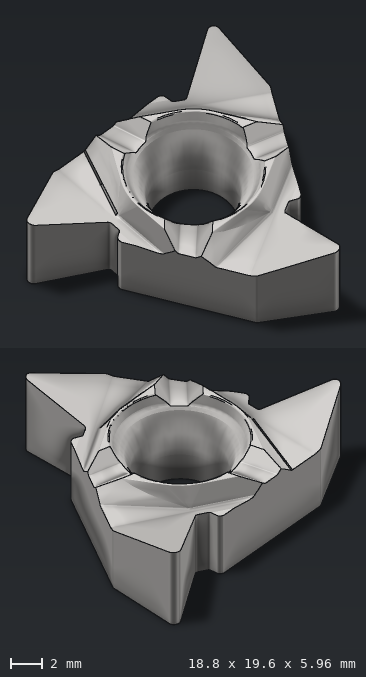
import cadquery as cq
import math

SECTORS = 3
SECTOR_ANGLE = 360 / SECTORS

inscribed_radius = 6.35
tip_x = -3.605
tip_y = -10.352
tip_radius = 0.45
flank_half_angle = math.radians(28.3)
flank_corner_radius = 0.3
notch_y = -6.30
notch_right_x = -0.02
notch_left_radius = 0.25
notch_right_radius = 0.2
heel_left_x = 0.43
heel_y = -6.90
heel_radius = 0.3

tip_z = 5.96
boss_z = 5.83
slot_floor_z = 5.04

rake_angle = math.radians(15.1)
rake_foot_y = -5.72
rake_blend_radius = 0.4
floor_z = tip_z - (rake_foot_y - (tip_y - tip_radius)) * math.tan(rake_angle)
heel_land_start_y = -6.43
heel_land_z = floor_z + (rake_foot_y - heel_land_start_y) * math.tan(rake_angle)

boss_top_radius = 4.71
boss_foot_distance = 5.52
boss_foot_bend_x = -1.04
boss_foot_bend_radius = 0.3
boss_first_normal = -90
boss_top_second_normal = -120
boss_foot_second_normal = -110.8
boss_foot_blend_radius = 0.18
boss_edge_radius = 0.06

slot_direction = -45
slot_offset = -0.1
slot_floor_half_width = 0.54
slot_top_half_width = 1.52
slot_corner_radius = 0.2

hole_radius = 5.7 / 2
seat_bottom_z = 2.0
seat_top_radius = 3.84
seat_top_z = 4.83
ledge_radius = 4.03
cone_foot_radius = 4.21
cone_foot_z = 5.26
rim_radius = 4.50
rim_rounding_length = 0.06

CLEARANCE = 1.0
REACH = 12.0
HEIGHT_TOLERANCE = 0.001


def turn(point, degrees):
    """Point turned about the origin."""
    angle = math.radians(degrees)
    x, y = point
    return (
        x * math.cos(angle) - y * math.sin(angle),
        x * math.sin(angle) + y * math.cos(angle),
    )


def toward(start, end, distance):
    """Point at a distance from start in the direction of end."""
    length = math.dist(start, end)
    return tuple(s + (e - s) * distance / length for s, e in zip(start, end))


def rounded_polygon(plane, corners):
    """Closed outline through (point, radius) corners; radius 0 leaves a corner sharp."""
    outline = None
    for index, (point, radius) in enumerate(corners):
        before = corners[index - 1][0]
        after = corners[(index + 1) % len(corners)][0]
        if radius == 0:
            stops = [point]
        else:
            a = math.atan2(before[1] - point[1], before[0] - point[0])
            b = math.atan2(after[1] - point[1], after[0] - point[0])
            half_angle = math.acos(math.cos(a - b)) / 2
            start = toward(point, before, radius / math.tan(half_angle))
            end = toward(point, after, radius / math.tan(half_angle))
            chord_middle = ((start[0] + end[0]) / 2, (start[1] + end[1]) / 2)
            middle = toward(point, chord_middle, radius / math.sin(half_angle) - radius)
            stops = [start, middle, end]
        if outline is None:
            outline = cq.Workplane(plane).moveTo(*stops[0])
        else:
            outline = outline.lineTo(*stops[0])
        if len(stops) > 1:
            outline = outline.threePointArc(stops[1], stops[2])
    return outline.close()


def line_crossing(normal_1, distance_1, normal_2, distance_2):
    """Crossing of two lines given by normal direction (degrees) and distance from the origin."""
    a = math.radians(normal_1)
    b = math.radians(normal_2)
    span = math.sin(b - a)
    x = (distance_1 * math.sin(b) - distance_2 * math.sin(a)) / span
    y = (distance_2 * math.cos(a) - distance_1 * math.cos(b)) / span
    return (x, y)


def every_sector(shape):
    """The shape repeated in all sectors."""
    copies = shape
    for sector in range(1, SECTORS):
        copies = copies.union(shape.rotate((0, 0, 0), (0, 0, 1), sector * SECTOR_ANGLE))
    return copies


def body_prism():
    """Full-height prism of the three-toothed outline."""
    apex_y = tip_y - tip_radius / math.sin(flank_half_angle)
    flank_corner_y = apex_y + (tip_x + inscribed_radius) / math.tan(flank_half_angle)
    notch_left_x = tip_x + (notch_y - apex_y) * math.tan(flank_half_angle)
    edge_normal = math.radians(180 + SECTOR_ANGLE)
    heel_right_x = (inscribed_radius - heel_y * math.sin(edge_normal)) / math.cos(edge_normal)
    sector_corners = [
        ((-inscribed_radius, flank_corner_y), flank_corner_radius),
        ((tip_x, apex_y), tip_radius),
        ((notch_left_x, notch_y), notch_left_radius),
        ((notch_right_x, notch_y), notch_right_radius),
        ((heel_left_x, heel_y), heel_radius),
        ((heel_right_x, heel_y), heel_radius),
    ]
    corners = []
    for sector in range(SECTORS):
        for point, radius in sector_corners:
            corners.append((turn(point, sector * SECTOR_ANGLE), radius))
    return rounded_polygon("XY", corners).extrude(tip_z + CLEARANCE)


def chip_floor():
    """Slab up to the chip floor."""
    return cq.Workplane("XY").rect(2 * REACH, 2 * REACH).extrude(floor_z)


def tooth_wedge():
    """Material under one rake face, with the lower heel land beside the tooth."""
    drop = REACH + rake_foot_y
    profile = [
        ((rake_foot_y + CLEARANCE, 0), 0),
        ((rake_foot_y + CLEARANCE, floor_z), 0),
        ((rake_foot_y, floor_z), rake_blend_radius),
        ((-REACH, floor_z + drop * math.tan(rake_angle)), 0),
        ((-REACH, 0), 0),
    ]
    wedge = rounded_polygon("YZ", profile).extrude(REACH, both=True)
    heel_space = (
        cq.Workplane("XY")
        .workplane(offset=heel_land_z)
        .moveTo(notch_right_x, heel_land_start_y)
        .lineTo(REACH, heel_land_start_y)
        .lineTo(REACH, -REACH)
        .lineTo(notch_right_x, -REACH)
        .close()
        .extrude(REACH)
    )
    return wedge.cut(heel_space)


def boss_wire(z, first_distance, second_normal, second_distance, bend_radius):
    """Boss section: per sector two straight walls joined by a rounded bend."""
    next_normal = boss_first_normal - SECTOR_ANGLE
    bend = line_crossing(boss_first_normal, first_distance, second_normal, second_distance)
    corner = line_crossing(second_normal, second_distance, next_normal, first_distance)
    corners = []
    for sector in range(SECTORS):
        corners.append((turn(bend, -sector * SECTOR_ANGLE), bend_radius))
        corners.append((turn(corner, -sector * SECTOR_ANGLE), 0))
    return rounded_polygon(cq.Plane((0, 0, z)), corners).val()


def boss():
    """Raised centre with walls flaring from the flat top down to the chip floor."""
    top = boss_wire(boss_z, boss_top_radius, boss_top_second_normal, boss_top_radius, boss_top_radius)
    normal = math.radians(boss_foot_second_normal)
    second_distance = boss_foot_bend_x * math.cos(normal) - boss_foot_distance * math.sin(normal)
    foot = boss_wire(
        floor_z, boss_foot_distance, boss_foot_second_normal, second_distance, boss_foot_bend_radius
    )
    return cq.Workplane(cq.Solid.makeLoft([foot, top], True))


def radial_slot():
    """Trapezoidal slot running outwards from the screw hole."""
    slope = (slot_top_half_width - slot_floor_half_width) / (boss_z - slot_floor_z)
    mouth_z = boss_z + CLEARANCE
    mouth_half_width = slot_top_half_width + CLEARANCE * slope
    profile = [
        ((slot_offset - mouth_half_width, mouth_z), 0),
        ((slot_offset - slot_floor_half_width, slot_floor_z), slot_corner_radius),
        ((slot_offset + slot_floor_half_width, slot_floor_z), slot_corner_radius),
        ((slot_offset + mouth_half_width, mouth_z), 0),
    ]
    slot = rounded_polygon("YZ", profile).extrude(REACH)
    return slot.rotate((0, 0, 0), (0, 0, 1), slot_direction)


def screw_seat():
    """Through hole opening in a flared seat, a narrow ledge and a conical rim."""
    rim = (rim_radius, boss_z)
    cone_foot = (cone_foot_radius, cone_foot_z)
    flat_start_radius = rim_radius + rim_rounding_length
    return (
        cq.Workplane("XZ")
        .moveTo(0, -CLEARANCE)
        .lineTo(hole_radius, -CLEARANCE)
        .lineTo(hole_radius, seat_bottom_z)
        .tangentArcPoint((seat_top_radius, seat_top_z), relative=False)
        .tangentArcPoint((ledge_radius, slot_floor_z), relative=False)
        .tangentArcPoint(cone_foot, relative=False)
        .lineTo(*toward(rim, cone_foot, rim_rounding_length))
        .tangentArcPoint((flat_start_radius, boss_z), relative=False)
        .lineTo(flat_start_radius, boss_z + CLEARANCE)
        .lineTo(0, boss_z + CLEARANCE)
        .close()
        .revolve(360, (0, 0, 0), (0, 1, 0))
    )


def edges_at(shape, z):
    """Horizontal edges at a height, within the surroundings of the boss."""
    span = REACH - CLEARANCE
    lower = (-span, -span, z - HEIGHT_TOLERANCE)
    upper = (span, span, z + HEIGHT_TOLERANCE)
    return shape.edges(cq.selectors.BoxSelector(lower, upper))


centre = chip_floor().union(boss())
centre = edges_at(centre, boss_z).fillet(boss_edge_radius)
centre = edges_at(centre, floor_z).fillet(boss_foot_blend_radius)
result = body_prism().intersect(centre.union(every_sector(tooth_wedge())))
result = result.cut(every_sector(radial_slot()))
result = result.cut(screw_seat())